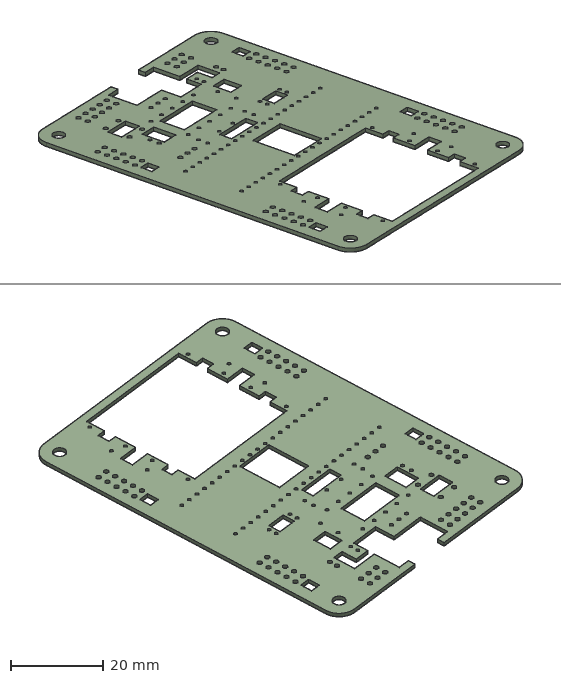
import cadquery as cq

BOARD_LENGTH = 88.27
BOARD_WIDTH = 63.5
BOARD_THICKNESS = 1.0
CORNER_RADIUS = 4.445
LEFT_EDGE = -BOARD_LENGTH / 2

MOUNT_DIAMETER = 3.0
HEADER_DIAMETER = 1.15
LARGE_LEAD_DIAMETER = 1.1
MEDIUM_DIAMETER = 0.9
SMALL_PIN_DIAMETER = 0.89
FINE_DIAMETER = 0.8

PITCH = 2.54
WIDE_SPACING = 4 * PITCH
SHORT_PAIR_SPACING = 2.0
MEDIUM_PAIR_SPACING = 2.5

EDGE_HEADER_XS = (-23.17, 22.58)
EDGE_HEADER_Y = 27.16
EDGE_HEADER_COLUMNS = 5
KEY_SLOT_OFFSET = 8.29
KEY_SLOT_Y = 27.27
KEY_SLOT_LENGTH = 3.05
KEY_SLOT_WIDTH = 2.58

UPPER_SIDE_HEADER = (-39.71, 15.9)
UPPER_SIDE_HEADER_ROWS = 3
LOWER_SIDE_HEADER = (-39.8, -13.33)
LOWER_SIDE_HEADER_ROWS = 5

LARGE_PIN_HEADER = (-12.38, -17.13)
SMALL_PIN_HEADER = (-31.43, -2.54)
SHORT_HEADER_ROWS = 3

LONG_SOCKET_CENTER = (-0.02, 0.08)
LONG_SOCKET_COLUMN_SPACING = 6 * PITCH
LONG_SOCKET_ROWS = 20

SHORT_SOCKET_CENTER = (-22.52, -2.55)
SHORT_SOCKET_ROWS = 5
SHORT_SOCKET_ROW_SPACING = 1.5 * PITCH

QUAD_CENTER = (-30.13, -16.51)
QUAD_SPACING_X = 6.5
QUAD_SPACING_Y = 4.5

LEFT_PAIR_X = -30.55
RIGHT_PAIR_X = -13.3
UPPER_PAIR_Y = 18.41
LOWER_PAIR_Y = 11.41
INNER_PAIR_X = -12.96
UPPER_INNER_PAIR_Y = 5.77
LOWER_INNER_PAIR_Y = -10.77
LOWER_PAIR = (-21.3, -17.17)
LONG_PAIR = (-21.85, 9.52)
LONG_PAIR_SPACING = 5.0
VERTICAL_PAIR = (-12.95, -2.55)
VERTICAL_PAIR_SPACING = 4.8

WINDOW_X = 26.7
WINDOW_LENGTH = 30.72
WINDOW_WIDTH = 30.84
NOTCH_DEPTH = 2.1
NOTCH_LENGTH = 3.1
RIGHT_NOTCH_X = 35.48
LEFT_NOTCH_START = 16.1
UPPER_LEFT_NOTCH_LENGTH = 2.8
DEEP_NOTCH_X = 26.5
DEEP_NOTCH_LENGTH = 3.4
DEEP_NOTCH_DEPTH = 5.03

NEAR_LEAD_XS = (17.45, 35.22)
NEAR_LEAD_Y = 16.5
FAR_LEAD_X = 26.32
FAR_LEAD_Y = 19.72

OPENINGS = [
    (-12.94, 14.99, 3.2, 4.75),
    (-24.33, 12.95, 4.78, 3.83),
    (1.07, 0.94, 11.3, 9.74),
    (-10.4, -1.37, 3.22, 9.38),
    (-22.78, -3.11, 6.63, 11.62),
    (-22.48, -14.03, 6.02, 4.13),
    (-30.14, -16.65, 3.8, 6.32),
]

MOUTH_TOP = 7.06
MOUTH_BOTTOM = -2.68
BAY_LEFT = -42.23
BAY_RIGHT = -29.25
BAY_TOP = 10.09
BAY_BOTTOM = -6.1
STEP_X = -34.49
STEP_Y = 2.71
HOOK_LEFT = -35.13
HOOK_INNER = -33.29
HOOK_TOP = 16.66
HOOK_UNDERSIDE = 13.97


def block(x, y, length, width):
    """Rectangular cutter through the board, centred on (x, y)."""
    return cq.Workplane("XY").center(x, y).rect(length, width).extrude(BOARD_THICKNESS)


def drill(board, center, columns, rows, column_spacing, row_spacing, diameter):
    """Drill a grid of through holes centred on the given point."""
    grid = cq.Workplane("XY").center(*center).rarray(column_spacing, row_spacing, columns, rows)
    return board.cut(grid.circle(diameter / 2).extrude(BOARD_THICKNESS))


def drill_row_pair(board, center, spacing, diameter):
    """Drill two holes side by side along X."""
    return drill(board, center, 2, 1, spacing, spacing, diameter)


def drill_pins(board, center, columns, rows):
    """Drill a header grid at the standard pitch."""
    return drill(board, center, columns, rows, PITCH, PITCH, HEADER_DIAMETER)


def make_blank():
    blank = block(0, 0, BOARD_LENGTH, BOARD_WIDTH)
    return blank.edges("|Z").fillet(CORNER_RADIUS)


def drill_mounts(board):
    """Mounting holes concentric with the rounded corners."""
    spacing_x = BOARD_LENGTH - 2 * CORNER_RADIUS
    spacing_y = BOARD_WIDTH - 2 * CORNER_RADIUS
    return drill(board, (0, 0), 2, 2, spacing_x, spacing_y, MOUNT_DIAMETER)


def cut_left_opening(board):
    outline = [
        (LEFT_EDGE, MOUTH_TOP),
        (BAY_LEFT, MOUTH_TOP),
        (BAY_LEFT, BAY_TOP),
        (HOOK_LEFT, BAY_TOP),
        (HOOK_LEFT, HOOK_TOP),
        (BAY_RIGHT, HOOK_TOP),
        (BAY_RIGHT, HOOK_UNDERSIDE),
        (HOOK_INNER, HOOK_UNDERSIDE),
        (HOOK_INNER, BAY_TOP),
        (BAY_RIGHT, BAY_TOP),
        (BAY_RIGHT, STEP_Y),
        (STEP_X, STEP_Y),
        (STEP_X, BAY_BOTTOM),
        (BAY_LEFT, BAY_BOTTOM),
        (BAY_LEFT, MOUTH_BOTTOM),
        (LEFT_EDGE, MOUTH_BOTTOM),
    ]
    return board.cut(cq.Workplane("XY").polyline(outline).close().extrude(BOARD_THICKNESS))


def cut_openings(board):
    for opening in OPENINGS:
        board = board.cut(block(*opening))
    return board


def cut_window(board):
    """Large window; each notch reaches from mid-window past the top or bottom edge."""
    board = board.cut(block(WINDOW_X, 0, WINDOW_LENGTH, WINDOW_WIDTH))
    for side, left_notch_length in ((1, UPPER_LEFT_NOTCH_LENGTH), (-1, NOTCH_LENGTH)):
        notches = [
            (LEFT_NOTCH_START + left_notch_length / 2, left_notch_length, NOTCH_DEPTH),
            (RIGHT_NOTCH_X, NOTCH_LENGTH, NOTCH_DEPTH),
            (DEEP_NOTCH_X, DEEP_NOTCH_LENGTH, DEEP_NOTCH_DEPTH),
        ]
        for x, length, depth in notches:
            reach = WINDOW_WIDTH / 2 + depth
            board = board.cut(block(x, side * reach / 2, length, reach))
    return board


def drill_window_leads(board):
    for x in NEAR_LEAD_XS:
        board = drill(board, (x, 0), 2, 2, WIDE_SPACING, 2 * NEAR_LEAD_Y, FINE_DIAMETER)
    return drill(board, (FAR_LEAD_X, 0), 2, 2, WIDE_SPACING, 2 * FAR_LEAD_Y, FINE_DIAMETER)


def add_edge_headers(board):
    for x in EDGE_HEADER_XS:
        for side in (1, -1):
            board = drill_pins(board, (x, side * EDGE_HEADER_Y), EDGE_HEADER_COLUMNS, 2)
            slot_x = x - side * KEY_SLOT_OFFSET
            board = board.cut(block(slot_x, side * KEY_SLOT_Y, KEY_SLOT_LENGTH, KEY_SLOT_WIDTH))
    return board


def drill_headers(board):
    board = drill_pins(board, UPPER_SIDE_HEADER, 2, UPPER_SIDE_HEADER_ROWS)
    board = drill_pins(board, LOWER_SIDE_HEADER, 2, LOWER_SIDE_HEADER_ROWS)
    board = drill_pins(board, LARGE_PIN_HEADER, 1, SHORT_HEADER_ROWS)
    return drill(board, SMALL_PIN_HEADER, 1, SHORT_HEADER_ROWS, PITCH, PITCH, SMALL_PIN_DIAMETER)


def drill_sockets(board):
    long_spacings = (LONG_SOCKET_COLUMN_SPACING, PITCH)
    short_spacings = (WIDE_SPACING, SHORT_SOCKET_ROW_SPACING)
    quad_spacings = (QUAD_SPACING_X, QUAD_SPACING_Y)
    board = drill(board, LONG_SOCKET_CENTER, 2, LONG_SOCKET_ROWS, *long_spacings, FINE_DIAMETER)
    board = drill(board, SHORT_SOCKET_CENTER, 2, SHORT_SOCKET_ROWS, *short_spacings, FINE_DIAMETER)
    return drill(board, QUAD_CENTER, 2, 2, *quad_spacings, LARGE_LEAD_DIAMETER)


def drill_lead_pairs(board):
    board = drill_row_pair(board, (LEFT_PAIR_X, UPPER_PAIR_Y), SHORT_PAIR_SPACING, LARGE_LEAD_DIAMETER)
    board = drill_row_pair(board, (LEFT_PAIR_X, LOWER_PAIR_Y), SHORT_PAIR_SPACING, FINE_DIAMETER)
    for y in (UPPER_PAIR_Y, LOWER_PAIR_Y):
        board = drill_row_pair(board, (RIGHT_PAIR_X, y), SHORT_PAIR_SPACING, FINE_DIAMETER)
    for y in (UPPER_INNER_PAIR_Y, LOWER_INNER_PAIR_Y):
        board = drill_row_pair(board, (INNER_PAIR_X, y), MEDIUM_PAIR_SPACING, FINE_DIAMETER)
    board = drill_row_pair(board, LOWER_PAIR, MEDIUM_PAIR_SPACING, MEDIUM_DIAMETER)
    board = drill_row_pair(board, LONG_PAIR, LONG_PAIR_SPACING, FINE_DIAMETER)
    return drill(board, VERTICAL_PAIR, 1, 2, VERTICAL_PAIR_SPACING, VERTICAL_PAIR_SPACING, FINE_DIAMETER)


board = make_blank()
board = drill_mounts(board)
board = cut_left_opening(board)
board = cut_openings(board)
board = cut_window(board)
board = drill_window_leads(board)
board = add_edge_headers(board)
board = drill_headers(board)
board = drill_sockets(board)
board = drill_lead_pairs(board)

result = board